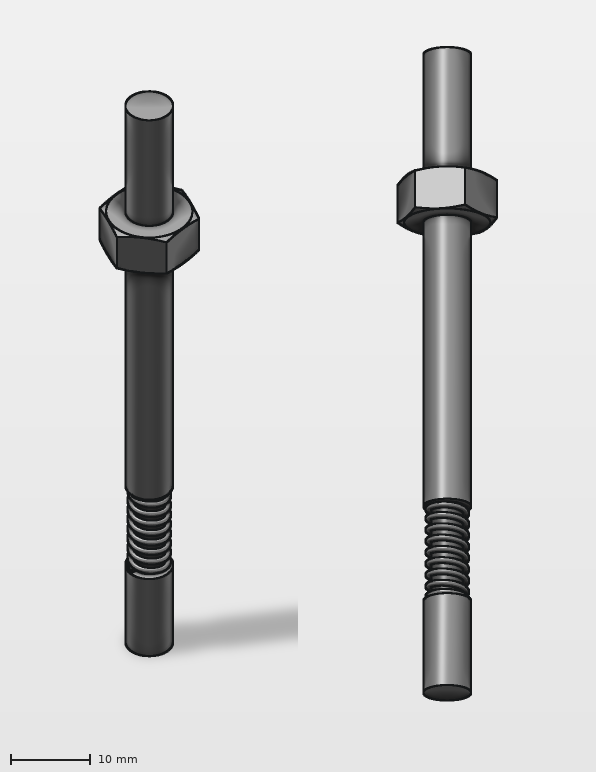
import cadquery as cq
import math

TOTAL_LENGTH = 84.4
PLUG_LENGTH = 12.2
SPRING_LENGTH = 12.5
ROD_BOTTOM = PLUG_LENGTH + SPRING_LENGTH

ROD_DIAMETER = 6.0
CORE_DIAMETER = 4.0
SPRING_OUTER_DIAMETER = 5.5

WIRE_DIAMETER = 0.74
COIL_RADIUS = (SPRING_OUTER_DIAMETER - WIRE_DIAMETER) / 2
PITCH = 1.495
ACTIVE_TURNS = 7
TOTAL_TURNS = ACTIVE_TURNS + 2
START_ANGLE = -76.0
POINTS_PER_TURN = 12

NUT_BOTTOM = 62.2
NUT_HEIGHT = 5.6
NUT_ACROSS_FLATS = 11.0
NUT_ACROSS_CORNERS = NUT_ACROSS_FLATS / math.cos(math.radians(30))
NUT_TURN = -3.3
NUT_FACE_RADIUS = 5.4
NUT_CHAMFER_ANGLE = 20.0


def cylinder(diameter, bottom, top):
    """Upright cylinder on the Z axis."""
    return cq.Workplane("XY").workplane(offset=bottom).circle(diameter / 2).extrude(top - bottom)


def coil_rise(turn):
    """Height above the lower wire end: the pitch grows from zero over the first turn
    and falls back to zero over the last."""
    if turn < 1:
        return PITCH * turn**2 / 2
    if turn > TOTAL_TURNS - 1:
        turns_left = TOTAL_TURNS - turn
        return PITCH * (TOTAL_TURNS - 1 - turns_left**2 / 2)
    return PITCH * (turn - 0.5)


def make_spring():
    """Left-hand compression spring with closed ends ground flat."""
    coil_height = coil_rise(TOTAL_TURNS)
    coil_bottom = PLUG_LENGTH + (SPRING_LENGTH - coil_height) / 2

    def coil_point(turn):
        angle = math.radians(START_ANGLE - 360 * turn)
        return (
            COIL_RADIUS * math.cos(angle),
            COIL_RADIUS * math.sin(angle),
            coil_bottom + coil_rise(turn),
        )

    steps = POINTS_PER_TURN * TOTAL_TURNS
    path = cq.Workplane("XY").spline([coil_point(step / POINTS_PER_TURN) for step in range(steps + 1)])
    start = math.radians(START_ANGLE)
    start_plane = cq.Plane(
        origin=coil_point(0),
        xDir=(math.cos(start), math.sin(start), 0),
        normal=(math.sin(start), -math.cos(start), 0),
    )
    wire = cq.Workplane(start_plane).circle(WIRE_DIAMETER / 2).sweep(path, isFrenet=True)
    between_ends = cylinder(ROD_DIAMETER, PLUG_LENGTH, ROD_BOTTOM)
    return wire.intersect(between_ends).solids()


def make_nut():
    """Hexagonal nut with chamfered corners, bored to fit the rod."""
    hexagon = (
        cq.Workplane("XY")
        .polygon(6, NUT_ACROSS_CORNERS)
        .extrude(NUT_HEIGHT)
        .rotate((0, 0, 0), (0, 0, 1), NUT_TURN)
    )
    corner_radius = NUT_ACROSS_CORNERS / 2
    chamfer_drop = (corner_radius - NUT_FACE_RADIUS) * math.tan(math.radians(NUT_CHAMFER_ANGLE))
    chamfer_envelope = (
        cq.Workplane("XZ")
        .polyline([
            (0, 0),
            (NUT_FACE_RADIUS, 0),
            (corner_radius, chamfer_drop),
            (corner_radius, NUT_HEIGHT - chamfer_drop),
            (NUT_FACE_RADIUS, NUT_HEIGHT),
            (0, NUT_HEIGHT),
        ])
        .close()
        .revolve(360, (0, 0, 0), (0, 1, 0))
    )
    bore = cylinder(ROD_DIAMETER, 0, NUT_HEIGHT)
    return hexagon.intersect(chamfer_envelope).cut(bore).translate((0, 0, NUT_BOTTOM)).solids()


plug = cylinder(ROD_DIAMETER, 0, PLUG_LENGTH)
core = cylinder(CORE_DIAMETER, PLUG_LENGTH, ROD_BOTTOM)
rod = cylinder(ROD_DIAMETER, ROD_BOTTOM, TOTAL_LENGTH)
spring = make_spring()
nut = make_nut()

result = cq.Compound.makeCompound([plug.val(), core.val(), rod.val(), spring.val(), nut.val()])